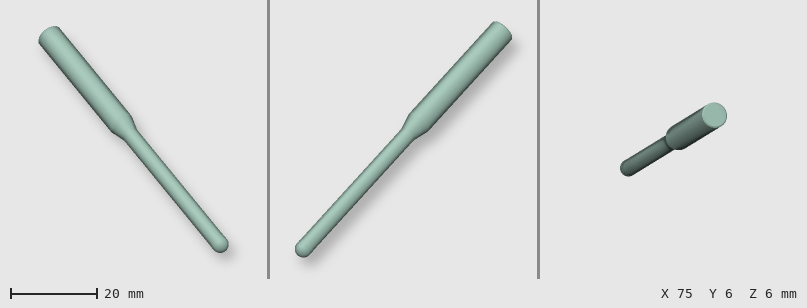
import cadquery as cq

total_length = 75.0
shank_diameter = 6.0
shank_length = 31.0
shank_chamfer = 0.3
taper_length = 3.9
neck_diameter = 3.9
ball_diameter = 4.0
ball_land_length = 1.1

shank_radius = shank_diameter / 2
neck_radius = neck_diameter / 2
ball_radius = ball_diameter / 2

left_end = -total_length / 2
tip = left_end + total_length
shank_end = left_end + shank_length
taper_end = shank_end + taper_length
ball_center = tip - ball_radius
land_start = ball_center - ball_land_length

diagonal_offset = ball_radius * 0.5**0.5
ball_midpoint = (ball_center + diagonal_offset, diagonal_offset)

profile = (
    cq.Workplane("XY")
    .moveTo(left_end, 0)
    .lineTo(left_end, shank_radius - shank_chamfer)
    .lineTo(left_end + shank_chamfer, shank_radius)
    .lineTo(shank_end, shank_radius)
    .lineTo(taper_end, neck_radius)
    .lineTo(land_start, neck_radius)
    .lineTo(land_start, ball_radius)
    .lineTo(ball_center, ball_radius)
    .threePointArc(ball_midpoint, (tip, 0))
    .close()
)

result = profile.revolve(360, (0, 0, 0), (1, 0, 0))